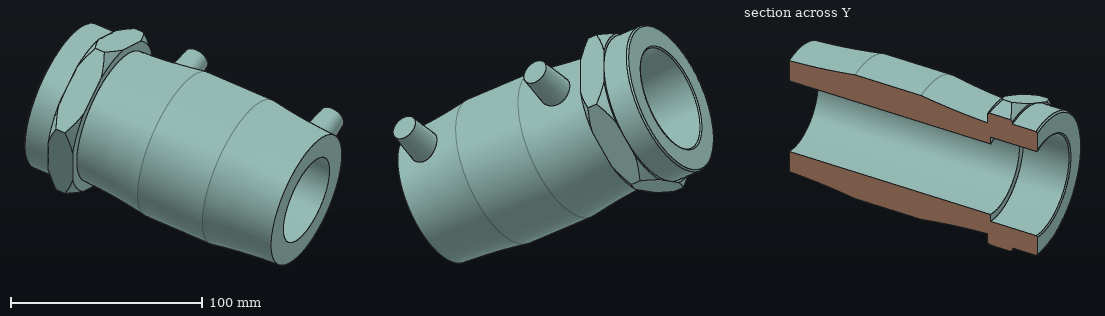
import cadquery as cq
import math

length = 147.0
hex_start = 14.8
hex_width = 14.8
hex_end = hex_start + hex_width
section_length = (length - hex_end) / 3

body_radius = 82.0 / 2
waist_radius = 36.9
waist_sag = 0.6
rim_chamfer = 0.9

hex_corner_radius = body_radius / math.cos(math.radians(30))
hex_face_radius = 42.3
hex_chamfer_width = 4.7

bore_radius = 48.0 / 2
socket_radius = 56.6 / 2
socket_depth = 27.8
socket_chamfer = 0.7

terminal_positions = (47.5, 129.5)
terminal_tip_y = 57.0
terminal_base_y = 32.3
terminal_tip_radius = 7.0
terminal_base_radius = 9.3


def revolve_about_x(profile):
    """Turn a closed XY profile a full turn around the X axis."""
    return profile.close().revolve(360, (0, 0, 0), (1, 0, 0))


def make_body():
    """Round collar followed by a barrel with concave flared flanks."""
    barrel_start = hex_end + section_length
    barrel_end = barrel_start + section_length
    flank_mid_radius = (body_radius + waist_radius) / 2 - waist_sag
    return revolve_about_x(
        cq.Workplane("XY")
        .moveTo(0, 0)
        .lineTo(0, body_radius - rim_chamfer)
        .lineTo(rim_chamfer, body_radius)
        .lineTo(hex_end, body_radius)
        .lineTo(hex_end, waist_radius)
        .threePointArc((hex_end + section_length / 2, flank_mid_radius), (barrel_start, body_radius))
        .lineTo(barrel_end, body_radius)
        .threePointArc((barrel_end + section_length / 2, flank_mid_radius), (length, waist_radius))
        .lineTo(length, 0)
    )


def make_hexagon():
    """Hexagon with flats facing +/-Y and conically chamfered corners."""
    prism = (
        cq.Workplane("YZ", origin=(hex_start, 0, 0))
        .transformed(rotate=(0, 0, 90))
        .polygon(6, 2 * hex_corner_radius)
        .extrude(hex_width)
    )
    envelope = revolve_about_x(
        cq.Workplane("XY")
        .moveTo(hex_start, 0)
        .lineTo(hex_start, hex_face_radius)
        .lineTo(hex_start + hex_chamfer_width, hex_corner_radius)
        .lineTo(hex_end - hex_chamfer_width, hex_corner_radius)
        .lineTo(hex_end, hex_face_radius)
        .lineTo(hex_end, 0)
    )
    return prism.intersect(envelope)


def make_terminal(x):
    """Solid tapered stub pointing along +Y, rooted inside the wall."""
    cone = cq.Solid.makeCone(
        terminal_base_radius,
        terminal_tip_radius,
        terminal_tip_y - terminal_base_y,
        cq.Vector(x, terminal_base_y, 0),
        cq.Vector(0, 1, 0),
    )
    return cq.Workplane(cone)


def make_bore():
    """Through bore with a wider socket and a chamfered mouth at X = 0."""
    return revolve_about_x(
        cq.Workplane("XY")
        .moveTo(0, 0)
        .lineTo(0, socket_radius + socket_chamfer)
        .lineTo(socket_chamfer, socket_radius)
        .lineTo(socket_depth, socket_radius)
        .lineTo(socket_depth, bore_radius)
        .lineTo(length, bore_radius)
        .lineTo(length, 0)
    )


result = make_body().union(make_hexagon())
for terminal_x in terminal_positions:
    result = result.union(make_terminal(terminal_x))
result = result.cut(make_bore())